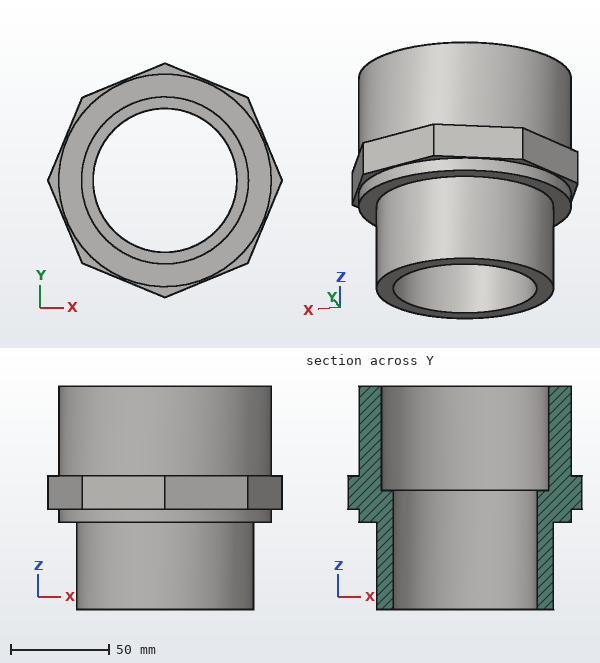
import cadquery as cq

collar_bottom = 44.3
nut_bottom = 51.0
nut_top = 68.0
total_height = 113.5
socket_floor = 60.6

nut_across_corners = 119.1
body_diameter = 108.0
spigot_diameter = 90.0
socket_diameter = 84.9
bore_diameter = 73.0
nut_sides = 8


def cylinder(diameter, bottom, top):
    """Upright cylinder on the Z axis between two heights."""
    return cq.Workplane("XY").workplane(offset=bottom).circle(diameter / 2).extrude(top - bottom)


spigot = cylinder(spigot_diameter, 0, collar_bottom)
body = cylinder(body_diameter, collar_bottom, total_height)
nut = (
    cq.Workplane("XY")
    .workplane(offset=nut_bottom)
    .polygon(nut_sides, nut_across_corners)
    .extrude(nut_top - nut_bottom)
)

bore = cylinder(bore_diameter, 0, total_height)
socket = cylinder(socket_diameter, socket_floor, total_height)

result = spigot.union(body).union(nut).cut(bore).cut(socket)